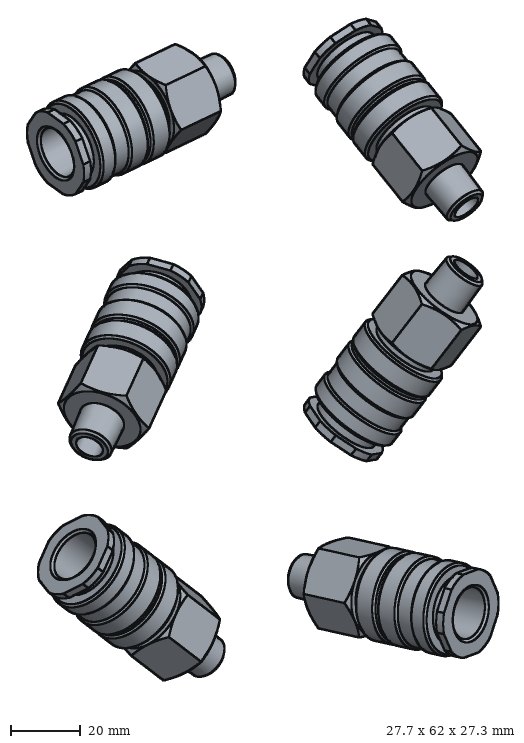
import cadquery as cq
import math

length = 62.0

collar_back = 2.55
sleeve_front = 6.0
sleeve_back = 31.7
hex_front = 34.05
hex_back = 51.15
gauge_plane = 55.9

bands = [(sleeve_front, 11.65), (16.5, 23.6), (24.55, sleeve_back)]
band_chamfer = 0.7

sleeve_diameter = 27.3
groove_diameter = sleeve_diameter - 2 * band_chamfer
neck_diameter = 20.0
collar_diameter = 26.0
collar_flats = 25.0
hex_flats = 24.0
hex_front_face_diameter = 24.0
hex_back_face_diameter = 23.3
hex_chamfer_angle = 30.0

thread_gauge_diameter = 13.15
thread_taper = 1 / 16
thread_chamfer = 0.8

socket_diameter = 15.2
socket_depth = sleeve_back
socket_chamfer = 0.8
passage_diameter = 8.2


def revolve_profile(points):
    """Turn an outline of (radius, station) points about the Y axis."""
    return cq.Workplane("XY").polyline(points).close().revolve(360, (0, 0), (0, 1))


def cylinder(diameter, start, end):
    radius = diameter / 2
    return revolve_profile([(0, start), (radius, start), (radius, end), (0, end)])


def hexagon(flats, start, end):
    """Hexagonal prism with flats at top and bottom and corners on the X axis."""
    corners = flats / math.cos(math.radians(30))
    plane = cq.Workplane("XZ", origin=(0, start, 0))
    return plane.polygon(6, corners).extrude(start - end)


def make_collar():
    disc = cylinder(collar_diameter, 0, collar_back)
    return disc.intersect(hexagon(collar_flats, 0, collar_back))


def make_band(front, back):
    outer = sleeve_diameter / 2
    inner = outer - band_chamfer
    return revolve_profile([
        (0, front),
        (inner, front),
        (outer, front + band_chamfer),
        (outer, back - band_chamfer),
        (inner, back),
        (0, back),
    ])


def make_sleeve():
    sleeve = cylinder(groove_diameter, sleeve_front, sleeve_back)
    for front, back in bands:
        sleeve = sleeve.union(make_band(front, back))
    return sleeve


def make_hex_body():
    """Hexagon with its corners cut back by a cone at each end."""
    corner_radius = hex_flats / 2 / math.cos(math.radians(30))
    slope = math.tan(math.radians(hex_chamfer_angle))
    front_radius = hex_front_face_diameter / 2
    back_radius = hex_back_face_diameter / 2
    cone_radius = corner_radius + 0.6
    envelope = revolve_profile([
        (0, hex_front),
        (front_radius, hex_front),
        (cone_radius, hex_front + (cone_radius - front_radius) * slope),
        (cone_radius, hex_back - (cone_radius - back_radius) * slope),
        (back_radius, hex_back),
        (0, hex_back),
    ])
    return hexagon(hex_flats, hex_front, hex_back).intersect(envelope)


def thread_radius(station):
    return (thread_gauge_diameter - (station - gauge_plane) * thread_taper) / 2


def make_thread():
    chamfer_start = length - thread_chamfer
    return revolve_profile([
        (0, hex_back),
        (thread_radius(hex_back), hex_back),
        (thread_radius(gauge_plane), gauge_plane),
        (thread_radius(chamfer_start), chamfer_start),
        (thread_radius(chamfer_start) - thread_chamfer, length),
        (0, length),
    ])


def make_bore():
    socket_radius = socket_diameter / 2
    passage_radius = passage_diameter / 2
    return revolve_profile([
        (0, 0),
        (socket_radius + socket_chamfer, 0),
        (socket_radius, socket_chamfer),
        (socket_radius, socket_depth),
        (passage_radius, socket_depth),
        (passage_radius, length),
        (0, length),
    ])


neck = cylinder(neck_diameter, collar_back, hex_front)
body = neck.union(make_collar()).union(make_sleeve())
body = body.union(make_hex_body()).union(make_thread())
result = body.cut(make_bore())